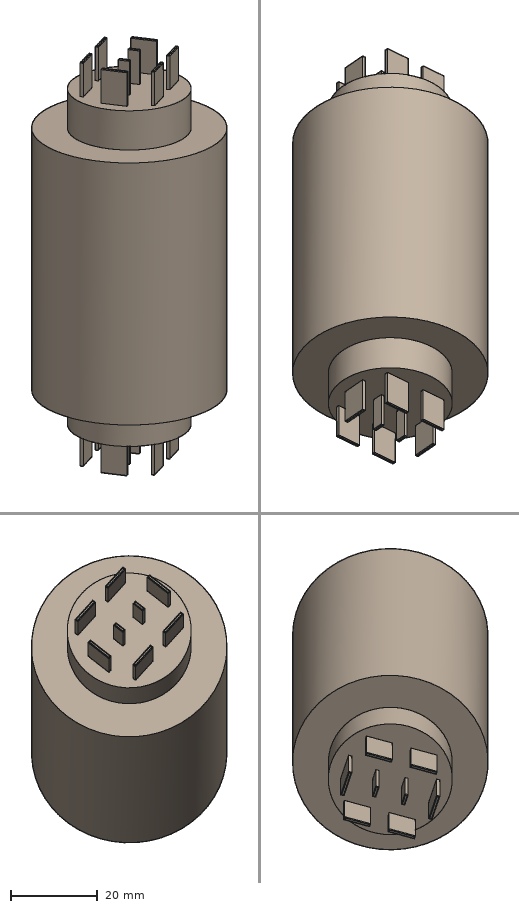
import cadquery as cq

body_diameter = 45.0
body_height = 64.7

boss_diameter = 28.5
top_boss_height = 9.7
bottom_boss_height = 8.5

terminal_length = 8.5
terminal_thickness = 0.8
terminal_tip_chamfer = 0.2
wide_terminal_width = 6.3
narrow_terminal_width = 2.8

outer_terminal_y = 10.6
inner_terminal_y = 3.5
side_terminal_x = 8.7
side_terminal_y = 5.4

bottom_boss_face = terminal_length
body_bottom = bottom_boss_face + bottom_boss_height
body_top = body_bottom + body_height
top_boss_face = body_top + top_boss_height


def cylinder(diameter, bottom, top):
    return cq.Workplane("XY").workplane(offset=bottom).circle(diameter / 2).extrude(top - bottom)


def terminals(size_x, size_y, centres, face, direction):
    """Blades grown from a boss face, up (1) or down (-1), with chamfered tips."""
    tip = ">Z" if direction > 0 else "<Z"
    return (
        cq.Workplane("XY")
        .workplane(offset=face)
        .pushPoints(centres)
        .rect(size_x, size_y)
        .extrude(direction * terminal_length)
        .faces(tip)
        .edges()
        .chamfer(terminal_tip_chamfer)
    )


result = cylinder(body_diameter, body_bottom, body_top)
result = result.union(cylinder(boss_diameter, bottom_boss_face, body_bottom))
result = result.union(cylinder(boss_diameter, body_top, top_boss_face))

outer_centres = [(0, y) for y in (-outer_terminal_y, outer_terminal_y)]
inner_centres = [(0, y) for y in (-inner_terminal_y, inner_terminal_y)]
side_centres = [
    (x, y)
    for x in (-side_terminal_x, side_terminal_x)
    for y in (-side_terminal_y, side_terminal_y)
]

terminal_groups = [
    (wide_terminal_width, terminal_thickness, outer_centres),
    (narrow_terminal_width, terminal_thickness, inner_centres),
    (terminal_thickness, wide_terminal_width, side_centres),
]

for size_x, size_y, centres in terminal_groups:
    for face, direction in ((top_boss_face, 1), (bottom_boss_face, -1)):
        result = result.union(terminals(size_x, size_y, centres, face, direction))